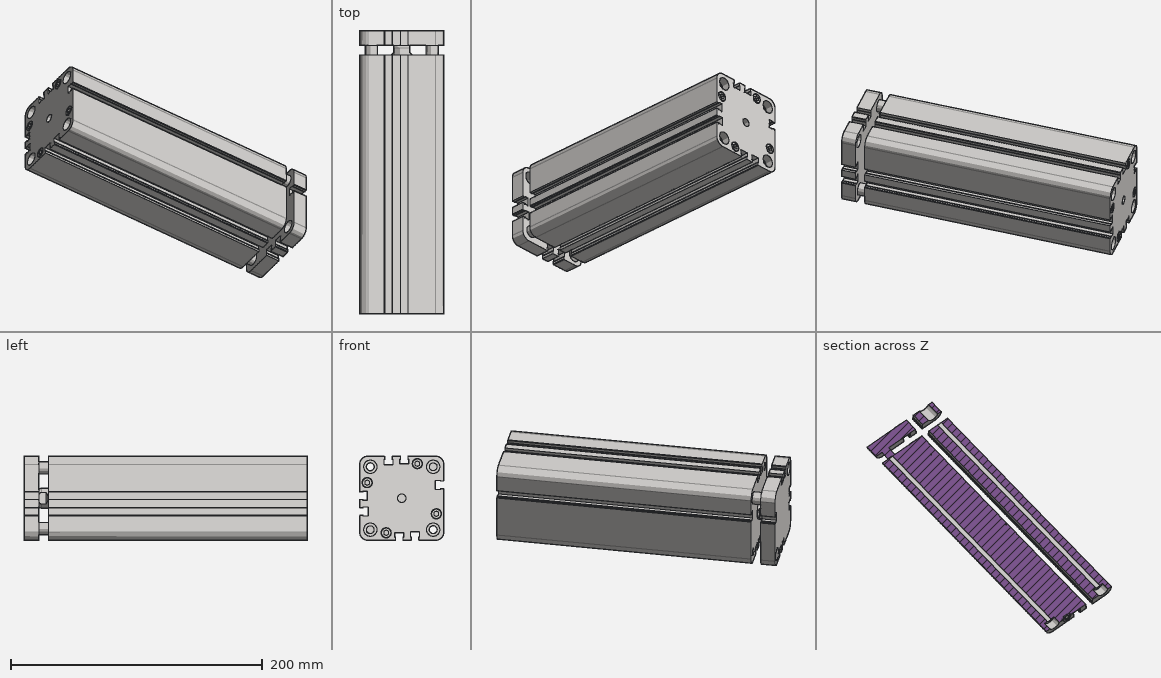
import cadquery as cq

length = 225.0
width = 67.0
corner_radius = 6.8
plate_thickness = 11.7
plate_gap = 7.6
body_length = length - plate_thickness - plate_gap
plate_start = body_length + plate_gap
half_width = width / 2

main_slot_offset = -10.5
main_slot_depth = 6.8
side_slot_offset = 2.0
side_slot_depth = 6.0
slot_opening = 5.8
slot_inner_width = 7.0
slot_lip = 2.7
main_slot_chamfer = 0.5
main_slot_turns = (0, 90, 180, 270)
side_slot_turns = (0, 90, 180)

corner_pitch = 50.0
corner_hole_diameter = 6.0
wide_hole_diameter = 10.5
counterbore_depth = 6.8
guide_pin_pitch = 48.2
guide_pin_diameter = 10.0

rod_diameter = 16.0
rod_flats_width = 13.0
rod_runout = 1.8
rod_end_rounding = 2.2
rod_end_diameter = 14.2

screw_recess_diameter = 8.0
screw_head_diameter = 7.5
screw_recess_depth = 1.1
socket_flats = 3.8
socket_depth = 2.2
screw_along = 12.4
screw_height = 27.5
center_hole_diameter = 6.8
center_hole_depth = 9.0


def section(y):
    """Workplane across the cylinder at y: local axes are X and Z, its normal is -Y."""
    return cq.Workplane("XZ", origin=(0, y, 0))


def block(start, depth):
    """Square block with rounded long edges, from start toward +Y."""
    return section(start).rect(width, width).extrude(-depth).edges("|Y").fillet(corner_radius)


def t_slot(offset, depth, chamfer, turn):
    """Full-length T-slot in the top face, chamfered at its mouth, turned about Y to its own face."""
    half_mouth = slot_opening / 2
    half_inner = slot_inner_width / 2
    right_side = [
        (half_mouth + chamfer, 0),
        (half_mouth, -chamfer),
        (half_mouth, -slot_lip),
        (half_inner, -slot_lip),
        (half_inner, -depth),
    ]
    if chamfer == 0:
        right_side = right_side[1:]
    left_side = [(-x, z) for x, z in reversed(right_side)]
    profile = section(0).center(offset, half_width).polyline(right_side + left_side).close()
    return profile.extrude(-length).rotate((0, 0, 0), (0, 1, 0), -turn)


def guide_pins():
    """Two pins on opposite corners that tie the body to the end plate."""
    reach = guide_pin_pitch / 2
    return (
        section(body_length)
        .pushPoints([(reach, reach), (-reach, -reach)])
        .circle(guide_pin_diameter / 2)
        .extrude(-plate_gap)
    )


def piston_rod():
    """Round rod with a rounded end and two flats that run out at the body."""
    rod_radius = rod_diameter / 2
    flat_reach = rod_flats_width / 2
    rod = (
        cq.Workplane("XY")
        .moveTo(0, body_length)
        .lineTo(rod_radius, body_length)
        .lineTo(rod_radius, plate_start - rod_end_rounding)
        .tangentArcPoint((rod_end_diameter / 2, plate_start), relative=False)
        .lineTo(0, plate_start)
        .close()
        .revolve(360, (0, 0, 0), (0, 1, 0))
    )
    runout_reach = flat_reach + rod_runout
    flats = (
        cq.Workplane("XY")
        .moveTo(-runout_reach, body_length)
        .lineTo(runout_reach, body_length)
        .lineTo(flat_reach, body_length + rod_runout)
        .lineTo(flat_reach, plate_start)
        .lineTo(-flat_reach, plate_start)
        .lineTo(-flat_reach, body_length + rod_runout)
        .close()
        .extrude(rod_radius, both=True)
    )
    return rod.intersect(flats)


def body_corner_holes():
    """Four through holes in the body, counterbored in the front face."""
    corners = section(0).rect(corner_pitch, corner_pitch, forConstruction=True).vertices()
    holes = corners.circle(corner_hole_diameter / 2).extrude(-body_length)
    counterbores = corners.circle(wide_hole_diameter / 2).extrude(-counterbore_depth)
    return holes.union(counterbores)


def plate_access_holes():
    """Two plain holes through the end plate on the corners without guide pins."""
    reach = corner_pitch / 2
    return (
        section(plate_start)
        .pushPoints([(-reach, reach), (reach, -reach)])
        .circle(wide_hole_diameter / 2)
        .extrude(-plate_thickness)
    )


def screw_recesses():
    """Clearance rings and hex sockets of the four screws in the front face."""
    points = [
        (screw_along, screw_height),
        (screw_height, -screw_along),
        (-screw_along, -screw_height),
        (-screw_height, screw_along),
    ]
    places = section(0).pushPoints(points)
    recesses = places.circle(screw_recess_diameter / 2).extrude(-screw_recess_depth)
    heads = places.circle(screw_head_diameter / 2).extrude(-screw_recess_depth)
    sockets = places.polygon(6, socket_flats, circumscribed=True).extrude(-socket_depth)
    return recesses.cut(heads).union(sockets)


center_hole = section(0).circle(center_hole_diameter / 2).extrude(-center_hole_depth)

body = block(0, body_length).cut(body_corner_holes()).cut(screw_recesses()).cut(center_hole)
end_plate = block(plate_start, plate_thickness).cut(plate_access_holes())

main_slots = [t_slot(main_slot_offset, main_slot_depth, main_slot_chamfer, turn) for turn in main_slot_turns]
side_slots = [t_slot(side_slot_offset, side_slot_depth, 0, turn) for turn in side_slot_turns]
for slot in main_slots + side_slots:
    body = body.cut(slot)
    end_plate = end_plate.cut(slot)

result = body.union(piston_rod()).union(guide_pins()).union(end_plate)